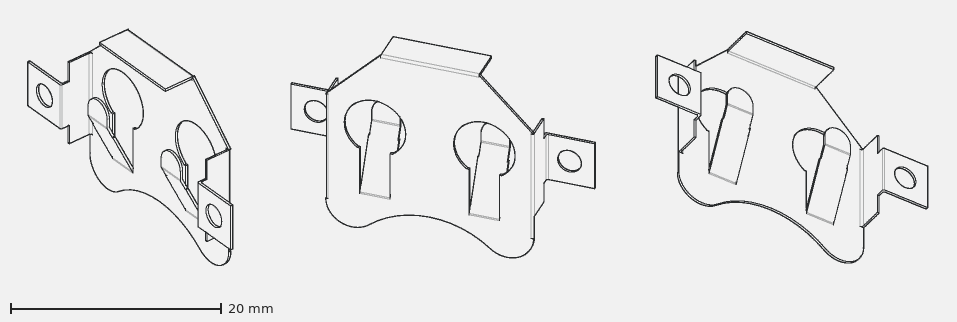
import cadquery as cq
import math


SHEET = 0.28
SIDE_WALL = 0.2
LIP_BEND_INNER = 0.15
WALL_BEND_INNER = 0.25
BEND_OUTER = 0.25
TAB_BEND_REAR = 0.18
TAB_BEND_FRONT = 0.15
BEND_STUB = 0.6

HALF_WIDTH = 10.5
TOP_Z = 10.3
BOTTOM_Z = -9.75
CORNER_CUT = 5.53
LOBE_R = 2.67
LOBE_Z = BOTTOM_Z + LOBE_R
ARCH_TOP_Z = -6.9

LIP_DEPTH = 3.55
WALL_TOP_Z = TOP_Z - CORNER_CUT
WALL_BOTTOM_Z = -4.67
WALL_DEPTH = 2.95
TAB_TIP_X = 15.35
TAB_HALF_HEIGHT = 2.55
TAB_DEPTH = 3.95
TAB_HOLE_D = 2.4

KEYHOLE_X = 5.53
KEYHOLE_Z = 1.95
KEYHOLE_R = 3.1
SHOULDER_Z = -0.6
SLOT_WIDTH = 3.07
SLOT_END_Z = -5.9
TONGUE_WIDTH = 2.9
TONGUE_ROOT_Z = -5.75
TONGUE_BEND_Z = 0.65
TONGUE_TIP_Z = 3.15
TONGUE_DEPTH = 3.35
TONGUE_BEND = 0.3


def block(x_range, y_range, z_range):
    """Box spanning the given (low, high) pairs."""
    (x0, x1), (y0, y1), (z0, z1) = x_range, y_range, z_range
    return cq.Workplane("XY").box(x1 - x0, y1 - y0, z1 - z0, centered=False).translate((x0, y0, z0))


def both_sides(shape):
    return shape.union(shape.mirror("YZ"))


def make_plate():
    lobe_x = HALF_WIDTH - LOBE_R
    rise = ARCH_TOP_Z - LOBE_Z
    arch_r = (lobe_x**2 + rise**2 - LOBE_R**2) / (2 * (LOBE_R + rise))
    share = arch_r / (arch_r + LOBE_R)
    arch_z = ARCH_TOP_Z - arch_r
    join_x = share * lobe_x
    join_z = arch_z + share * (LOBE_Z - arch_z)
    lip_x = HALF_WIDTH - CORNER_CUT
    return (
        cq.Workplane("XZ")
        .moveTo(-lip_x, TOP_Z)
        .lineTo(lip_x, TOP_Z)
        .lineTo(HALF_WIDTH, WALL_TOP_Z)
        .lineTo(HALF_WIDTH, LOBE_Z)
        .threePointArc((lobe_x, BOTTOM_Z), (join_x, join_z))
        .threePointArc((0, ARCH_TOP_Z), (-join_x, join_z))
        .threePointArc((-lobe_x, BOTTOM_Z), (-HALF_WIDTH, LOBE_Z))
        .lineTo(-HALF_WIDTH, WALL_TOP_Z)
        .close()
        .extrude(SHEET)
    )


def make_keyhole():
    opening = (
        cq.Workplane("XZ").center(KEYHOLE_X, KEYHOLE_Z).circle(KEYHOLE_R).extrude(SHEET)
        .intersect(block((0, HALF_WIDTH), (-SHEET, 0), (SHOULDER_Z, TOP_Z)))
    )
    slot_x = (KEYHOLE_X - SLOT_WIDTH / 2, KEYHOLE_X + SLOT_WIDTH / 2)
    return opening.union(block(slot_x, (-SHEET, 0), (SLOT_END_Z, SHOULDER_Z)))


def make_tongue():
    """Strip that slants forward from the slot and ends in an upright rounded pad."""
    slant = math.atan2(TONGUE_DEPTH - SHEET, TONGUE_BEND_Z - TONGUE_ROOT_Z)
    miter = SHEET * math.tan(slant / 2)
    back = SHEET - TONGUE_DEPTH
    strip = (
        cq.Workplane("YZ")
        .polyline([
            (0, SLOT_END_Z),
            (-SHEET, SLOT_END_Z),
            (-SHEET, TONGUE_ROOT_Z),
            (-TONGUE_DEPTH, TONGUE_BEND_Z),
            (-TONGUE_DEPTH, TONGUE_TIP_Z),
            (back, TONGUE_TIP_Z),
            (back, TONGUE_BEND_Z + miter),
            (0, TONGUE_ROOT_Z + miter),
        ])
        .close()
        .extrude(SLOT_WIDTH / 2, both=True)
    )
    bends = cq.selectors.BoxSelector(
        (-SLOT_WIDTH, -TONGUE_DEPTH - SHEET, TONGUE_ROOT_Z - miter),
        (SLOT_WIDTH, SHEET, TONGUE_BEND_Z + 2 * miter),
    )
    strip = strip.edges("|X").edges(bends).fillet(TONGUE_BEND)
    half = TONGUE_WIDTH / 2
    tip_side_z = TONGUE_TIP_Z - half
    front_shape = (
        cq.Workplane("XZ")
        .moveTo(-SLOT_WIDTH / 2, SLOT_END_Z)
        .lineTo(SLOT_WIDTH / 2, SLOT_END_Z)
        .lineTo(SLOT_WIDTH / 2, SHOULDER_Z)
        .lineTo(half, SHOULDER_Z)
        .lineTo(half, tip_side_z)
        .threePointArc((0, TONGUE_TIP_Z), (-half, tip_side_z))
        .lineTo(-half, SHOULDER_Z)
        .lineTo(-SLOT_WIDTH / 2, SHOULDER_Z)
        .close()
        .extrude(TONGUE_DEPTH)
    )
    return strip.intersect(front_shape).translate((KEYHOLE_X, 0, 0))


def make_lip():
    """Top lip with its bend and the strip of plate next to it."""
    half = HALF_WIDTH - CORNER_CUT
    return (
        cq.Workplane("YZ")
        .moveTo(0, TOP_Z - BEND_STUB)
        .lineTo(0, TOP_Z - BEND_OUTER)
        .radiusArc((-BEND_OUTER, TOP_Z), -BEND_OUTER)
        .lineTo(-LIP_DEPTH, TOP_Z)
        .lineTo(-LIP_DEPTH, TOP_Z - SHEET)
        .lineTo(-SHEET - LIP_BEND_INNER, TOP_Z - SHEET)
        .radiusArc((-SHEET, TOP_Z - SHEET - LIP_BEND_INNER), LIP_BEND_INNER)
        .lineTo(-SHEET, TOP_Z - BEND_STUB)
        .close()
        .extrude(half, both=True)
    )


def make_side_wall():
    """Side wall with its mounting tab, its bends and the rounded plate edge down to the foot."""
    inner_x = HALF_WIDTH - SIDE_WALL
    tab_back = SHEET - TAB_DEPTH
    section = (
        cq.Workplane("XY")
        .moveTo(HALF_WIDTH - BEND_STUB, 0)
        .lineTo(HALF_WIDTH - BEND_OUTER, 0)
        .radiusArc((HALF_WIDTH, -BEND_OUTER), BEND_OUTER)
        .lineTo(HALF_WIDTH, tab_back + TAB_BEND_REAR)
        .radiusArc((HALF_WIDTH + TAB_BEND_REAR, tab_back), -TAB_BEND_REAR)
        .lineTo(TAB_TIP_X, tab_back)
        .lineTo(TAB_TIP_X, -TAB_DEPTH)
        .lineTo(inner_x + TAB_BEND_FRONT, -TAB_DEPTH)
        .radiusArc((inner_x, -TAB_DEPTH + TAB_BEND_FRONT), TAB_BEND_FRONT)
        .lineTo(inner_x, -SHEET - WALL_BEND_INNER)
        .radiusArc((inner_x - WALL_BEND_INNER, -SHEET), -WALL_BEND_INNER)
        .lineTo(HALF_WIDTH - BEND_STUB, -SHEET)
        .close()
        .extrude(WALL_TOP_Z - LOBE_Z)
        .translate((0, 0, LOBE_Z))
    )
    wall_zone = block((0, TAB_TIP_X), (-WALL_DEPTH, 0), (WALL_BOTTOM_Z, WALL_TOP_Z))
    tab_zone = block((0, TAB_TIP_X), (-TAB_DEPTH, 0), (-TAB_HALF_HEIGHT, TAB_HALF_HEIGHT))
    edge_zone = block((0, TAB_TIP_X), (-SHEET, 0), (LOBE_Z, WALL_TOP_Z))
    hole_x = TAB_TIP_X - TAB_HALF_HEIGHT
    hole = cq.Workplane("XZ").center(hole_x, 0).circle(TAB_HOLE_D / 2).extrude(TAB_DEPTH)
    return section.intersect(wall_zone.union(tab_zone).union(edge_zone)).cut(hole)


lip_edge = block(
    (CORNER_CUT - HALF_WIDTH, HALF_WIDTH - CORNER_CUT), (-SHEET, 0), (TOP_Z - BEND_STUB, TOP_Z)
)
wall_edge = block((HALF_WIDTH - BEND_STUB, HALF_WIDTH), (-SHEET, 0), (LOBE_Z, WALL_TOP_Z))

plate = make_plate().cut(lip_edge).cut(both_sides(wall_edge)).cut(both_sides(make_keyhole()))
result = plate.union(make_lip())
for bent_part in (make_side_wall(), make_tongue()):
    result = result.union(bent_part).union(bent_part.mirror("YZ"))